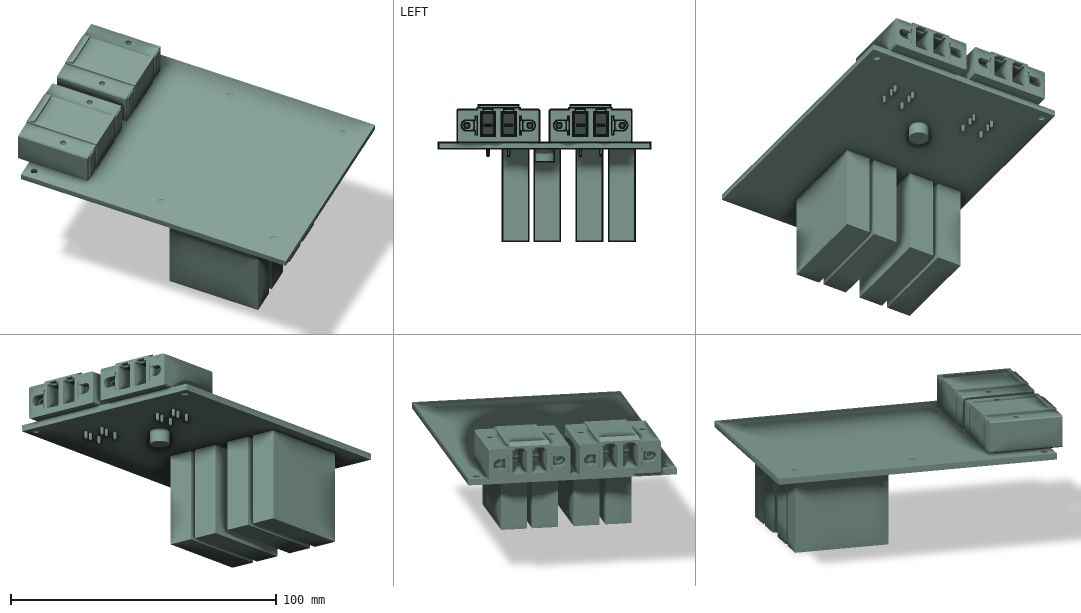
import cadquery as cq


overall_length = 114.4
board_length = 110.0
board_width = 80.0
board_thickness = 2.4
board_start = overall_length - board_length
mount_hole_diameter = 2.6
mount_hole_x = 8.2
mount_hole_y = 36.3
spot_diameter = 3.0
spot_depth = 0.1
spot_xs = (58.5, 105.3)
spot_y = 31.0

block_length = 36.8
block_width = 10.0
block_height = 34.9
block_start = 63.4
block_ys = (10.9, -1.0, -16.9, -29.2)

can_diameter = 7.4
can_height = 4.9
can_x = 37.5

connector_y = 17.4
housing_length = 28.7
housing_width = 31.1
housing_height = 12.5
housing_chamfer = 0.5
housing_top = board_thickness + housing_height

lid_y = 17.3
lid_width = 16.1
lid_rise = 0.7
lid_top = housing_top + lid_rise
flap_width = 15.3
flap_length = 3.1
flap_flat = 0.3
flap_rise = 1.0
back_rib_width = 4.2
back_rib_thickness = 0.3

socket_offset = 3.9
socket_width = 5.6
socket_height = 9.3
socket_taper = 0.6
socket_depth = 18.3
socket_z = 9.4
key_width = 3.7
key_top = housing_top
key_depth = 2.3
blade_width = 2.9
blade_thickness = 0.8
blade_chamfer = 0.2
blade_start = 9.2
opening_z = 8.8

pocket_offset = 11.9
pocket_diameter = 4.0
pocket_depth = 3.4
bridge_outer = 9.2
guide_slot_inner = 8.0
guide_slot_outer = 8.7
guide_slot_height = 6.9
guide_slot_depth = 0.8
screw_hole_diameter = 2.2
screw_hole_depth = 18.3
top_hole_diameter = 2.4
top_hole_depth = 0.8
top_hole_x = 17.0

pin_thickness = 0.8
pin_xs = (19.8, 22.4, 27.5)
pin_drop = 2.9
pin_tip_length = 0.7
pin_tip_thickness = 0.5


def box(x_start, y_center, z_start, length, width, height):
    """Box given by its front face, its middle plane in Y and its underside."""
    corner = (x_start, y_center - width / 2, z_start)
    return cq.Workplane("XY").box(length, width, height, centered=False).translate(corner)


def front_plane(y, z):
    """Sketch plane on the connector front: local x is -Y, local y is Z, the normal is -X."""
    return cq.Workplane(cq.Plane(origin=(0, y, z), xDir=(0, -1, 0), normal=(-1, 0, 0)))


def make_board():
    """Board with two through holes and four shallow round marks."""
    board = box(board_start, 0, 0, board_length, board_width, board_thickness)
    mount_holes = [(mount_hole_x, side * mount_hole_y) for side in (1, -1)]
    mounting = cq.Workplane("XY").pushPoints(mount_holes).circle(mount_hole_diameter / 2)
    spots = [(x, side * spot_y) for x in spot_xs for side in (1, -1)]
    marks = cq.Workplane("XY", origin=(0, 0, board_thickness - spot_depth))
    marks = marks.pushPoints(spots).circle(spot_diameter / 2)
    return board.cut(mounting.extrude(board_thickness)).cut(marks.extrude(spot_depth))


def make_block(y):
    return box(block_start, y, -block_height, block_length, block_width, block_height)


def make_shell():
    """Housing block with its raised lid, front flap and back ribs."""
    shell = box(0, connector_y, board_thickness, housing_length, housing_width, housing_height)
    shell = shell.edges("|X").chamfer(housing_chamfer)
    lid_length = housing_length + back_rib_thickness
    shell = shell.union(box(0, lid_y, board_thickness, lid_length, lid_width, lid_top - board_thickness))
    flap_top = lid_top + flap_rise
    flap_outline = [
        (0, lid_top),
        (flap_length, lid_top),
        (flap_length, flap_top),
        (flap_length - flap_flat, flap_top),
    ]
    flap = cq.Workplane("XZ", origin=(0, lid_y, 0)).polyline(flap_outline).close()
    shell = shell.union(flap.extrude(flap_width / 2, both=True))
    rib_height = housing_height - 2 * housing_chamfer
    rib_z = board_thickness + housing_chamfer
    for side in (1, -1):
        rib_y = connector_y + side * pocket_offset
        shell = shell.union(box(0, rib_y, rib_z, lid_length, back_rib_width, rib_height))
    return shell


def make_socket(y):
    """Straight cavity that narrows at its back end, with a key slot above its mouth."""
    straight_depth = socket_depth - socket_taper
    cavity = front_plane(y, socket_z).rect(socket_width, socket_height).extrude(-straight_depth)
    back = (
        front_plane(y, socket_z)
        .workplane(offset=-straight_depth)
        .rect(socket_width, socket_height)
        .workplane(offset=-socket_taper)
        .rect(socket_width - 2 * socket_taper, socket_height - 2 * socket_taper)
        .loft()
    )
    key_slot = box(0, y, socket_z, key_depth, key_width, key_top - socket_z)
    return cavity.union(back).union(key_slot)


def make_side_pocket(side):
    """Round-ended pocket with a front screw hole, joined by a shallow bridge to a tall guide slot."""
    y = connector_y + side * pocket_offset
    lower_z = opening_z - pocket_diameter / 2
    slot_z = opening_z - guide_slot_height / 2

    def span(inner, outer, z_start, depth, height):
        center_y = connector_y + side * (inner + outer) / 2
        return box(0, center_y, z_start, depth, outer - inner, height)

    round_end = front_plane(y, opening_z).circle(pocket_diameter / 2).extrude(-pocket_depth)
    flat_part = span(bridge_outer, pocket_offset, lower_z, pocket_depth, pocket_diameter)
    bridge = span(guide_slot_inner, bridge_outer, lower_z, guide_slot_depth, pocket_diameter)
    guide_slot = span(guide_slot_inner, guide_slot_outer, slot_z, guide_slot_depth, guide_slot_height)
    screw_hole = front_plane(y, opening_z).circle(screw_hole_diameter / 2).extrude(-screw_hole_depth)
    return round_end.union(flat_part).union(bridge).union(guide_slot).union(screw_hole)


def make_top_hole(side):
    """Shallow round hole in the top of the housing."""
    center = (top_hole_x, connector_y + side * pocket_offset, housing_top - top_hole_depth)
    return cq.Workplane("XY", origin=center).circle(top_hole_diameter / 2).extrude(top_hole_depth)


def make_contact(y):
    """Flat blade standing in a socket, plus the tapered solder pins below it."""
    blade_z = opening_z - blade_thickness / 2
    contact = box(blade_start, y, blade_z, housing_length - blade_start, blade_width, blade_thickness)
    contact = contact.faces("<X").chamfer(blade_chamfer)
    straight_drop = pin_drop - pin_tip_length
    for x in pin_xs:
        shank = cq.Workplane("XY", origin=(x, y, -straight_drop)).rect(pin_thickness, pin_thickness)
        contact = contact.union(shank.extrude(straight_drop + board_thickness))
        tip = (
            cq.Workplane("XY", origin=(x, y, -straight_drop))
            .rect(pin_thickness, pin_thickness)
            .workplane(offset=-pin_tip_length)
            .rect(pin_tip_thickness, pin_tip_thickness)
            .loft()
        )
        contact = contact.union(tip)
    return contact


def make_connector():
    """Connector on the +Y half of the board."""
    connector = make_shell()
    for side in (1, -1):
        socket_y = connector_y + side * socket_offset
        connector = connector.cut(make_socket(socket_y))
        connector = connector.cut(make_side_pocket(side)).cut(make_top_hole(side))
        connector = connector.union(make_contact(socket_y))
    return connector


def make_board_assembly():
    """Board with the blocks below it and a mirrored pair of connectors above it."""
    assembly = make_board()
    for y in block_ys:
        assembly = assembly.union(make_block(y))
    connector = make_connector()
    return assembly.union(connector).union(connector.mirror("XZ"))


def make_can():
    """Round component seated against the underside of the board."""
    return cq.Workplane("XY", origin=(can_x, 0, -can_height)).circle(can_diameter / 2).extrude(can_height)


board_assembly = make_board_assembly()
can = make_can()
result = cq.Compound.makeCompound([board_assembly.solids().val(), can.val()])